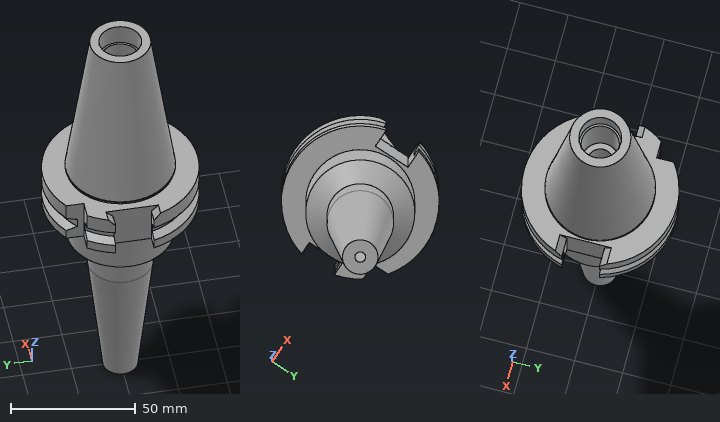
import cadquery as cq

total_height = 178.4
gauge_z = 110.0
flange_top_z = 109.0
flange_bottom_z = 91.0
body_bottom_z = 73.9
neck_top_z = 68.5
neck_bottom_z = 57.0

taper_top_radius = 12.3
gauge_radius = 22.3
body_radius = 22.0
neck_radius = 13.4
nose_radius = 7.1
flange_radius = 31.8

groove_radius = 28.2
groove_center_z = 98.7
groove_mouth_width = 7.0
groove_floor_width = 3.7

slot_width = 15.7
slot_chamfer = 2.9
left_slot_floor = 25.2
right_slot_floor = 22.8
notch_offset = 18.5

through_radius = 2.1
bore_steps = [(8.5, 8.7), (7.7, 32.0), (5.2, 46.4), (3.2, 60.7), (2.7, 75.0)]


def make_holder():
    """Revolve the taper, grooved flange, body and nose about Z."""
    mouth = groove_mouth_width / 2
    floor = groove_floor_width / 2
    profile = [
        (0, 0),
        (nose_radius, 0),
        (neck_radius, neck_bottom_z),
        (neck_radius, neck_top_z),
        (body_radius, body_bottom_z),
        (body_radius, flange_bottom_z),
        (flange_radius, flange_bottom_z),
        (flange_radius, groove_center_z - mouth),
        (groove_radius, groove_center_z - floor),
        (groove_radius, groove_center_z + floor),
        (flange_radius, groove_center_z + mouth),
        (flange_radius, flange_top_z),
        (body_radius, flange_top_z),
        (body_radius, gauge_z),
        (gauge_radius, gauge_z),
        (taper_top_radius, total_height),
        (0, total_height),
    ]
    return cq.Workplane("XZ").polyline(profile).close().revolve(360, (0, 0), (0, 1))


def make_slot(floor_distance, side):
    """Cutter for a drive slot with a chamfered top; side is -1 or 1 along X."""
    half = slot_width / 2
    wide = half + slot_chamfer
    shoulder_z = flange_top_z - slot_chamfer
    section = [
        (-half, flange_bottom_z),
        (half, flange_bottom_z),
        (half, shoulder_z),
        (wide, flange_top_z),
        (-wide, flange_top_z),
        (-half, shoulder_z),
    ]
    return (
        cq.Workplane("YZ", origin=(side * floor_distance, 0, 0))
        .polyline(section)
        .close()
        .extrude(side * flange_radius)
    )


def make_notch():
    """Cutter for the square notch at the -X, +Y edge of the flange."""
    return cq.Workplane("XY").box(
        flange_radius,
        flange_radius,
        flange_top_z - flange_bottom_z,
        centered=False,
    ).translate((-notch_offset - flange_radius, notch_offset, flange_bottom_z))


def cut_bores(part):
    """Cut the coaxial bores from the top face and the small through hole."""
    for radius, depth in bore_steps:
        bore = cq.Workplane("XY").workplane(offset=total_height - depth).circle(radius).extrude(depth)
        part = part.cut(bore)
    return part.cut(cq.Workplane("XY").circle(through_radius).extrude(total_height))


holder = make_holder()
holder = holder.cut(make_slot(left_slot_floor, -1))
holder = holder.cut(make_slot(right_slot_floor, 1))
holder = holder.cut(make_notch())
result = cut_bores(holder)